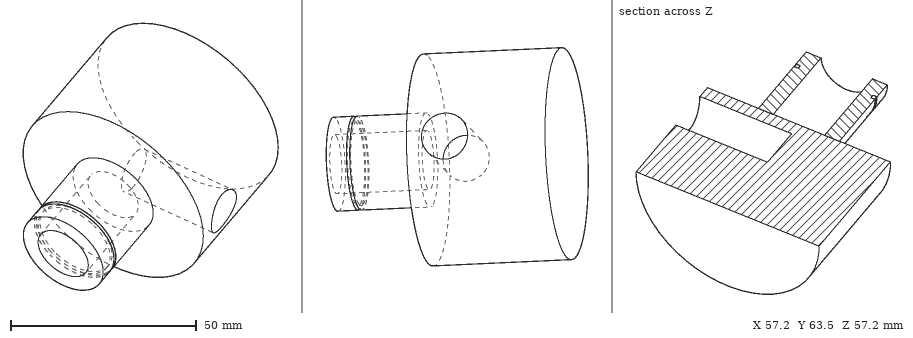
import cadquery as cq

overall_length = 63.5
housing_length = 38.1
housing_diameter = 57.2
stem_diameter = 25.4
bore_diameter = 15.95

housing_back = overall_length / 2
housing_front = housing_back - housing_length
stem_tip = -overall_length / 2

port_diameter = 12.7
port_setback = 10.5
port_depth = housing_diameter / 2

ring_width = 0.9
ring_tip_distance = 5.6
ring_outer_diameter = 25.2
groove_diameter = 22.85

ring_front = stem_tip + ring_tip_distance
ring_back = ring_front + ring_width


def cylinder(y_start, y_end, diameter):
    """Solid cylinder on the Y axis between two Y positions."""
    plane = cq.Workplane("XZ", origin=(0, y_end, 0))
    return plane.circle(diameter / 2).extrude(y_end - y_start)


def tube(y_start, y_end, outer_diameter, inner_diameter):
    """Hollow cylinder on the Y axis between two Y positions."""
    plane = cq.Workplane("XZ", origin=(0, y_end, 0))
    return plane.circle(outer_diameter / 2).circle(inner_diameter / 2).extrude(y_end - y_start)


def make_housing():
    """Large drum with a blind radial port on its +X side."""
    body = cylinder(housing_front, housing_back, housing_diameter)
    port_plane = cq.Workplane("YZ", origin=(0, housing_front + port_setback, 0))
    port = port_plane.circle(port_diameter / 2).extrude(port_depth)
    return body.cut(port)


def make_stem():
    """Tube standing on the housing front face, with a groove for the ring."""
    body = tube(stem_tip, housing_front, stem_diameter, bore_diameter)
    groove = tube(ring_front, ring_back, stem_diameter, groove_diameter)
    return body.cut(groove)


def make_retaining_ring():
    """Narrow ring that fills the width of the stem groove."""
    return tube(ring_front, ring_back, ring_outer_diameter, groove_diameter)


housing = make_housing()
stem = make_stem()
retaining_ring = make_retaining_ring()

result = cq.Compound.makeCompound([housing.val(), stem.val(), retaining_ring.val()])